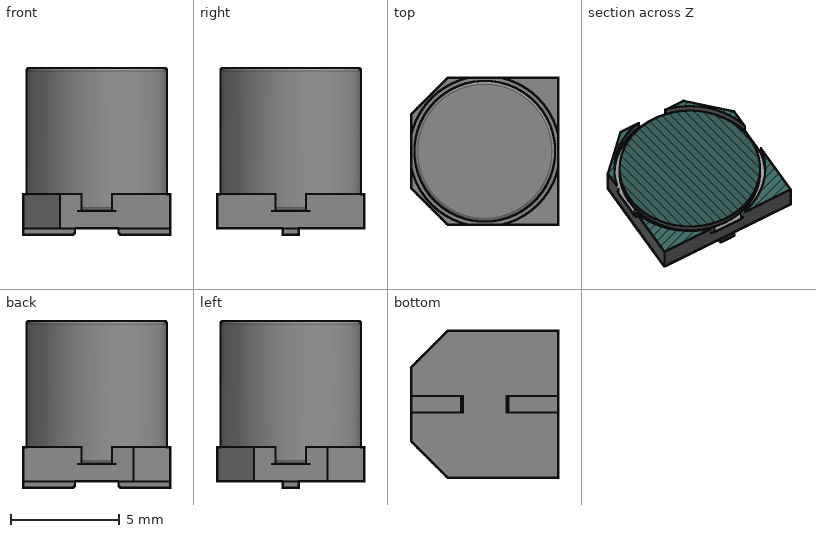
import cadquery as cq

HEIGHT = 7.7
BASE_SIDE = 6.8

TERMINAL_HEIGHT = 0.3
TERMINAL_LENGTH = 2.4
TERMINAL_WIDTH = 0.755
TERMINAL_CHAMFER = 0.09

BASE_HEIGHT = 1.58
BASE_TOP = TERMINAL_HEIGHT + BASE_HEIGHT
CORNER_CUT = BASE_SIDE / 4
SEAT_DIAMETER = 6.945
SEAT_DEPTH = 0.78
SEAT_FLOOR = BASE_TOP - SEAT_DEPTH

CAN_DIAMETER = 6.5
CAN_EDGE_RADIUS = 0.155
CAN_HEIGHT = HEIGHT - SEAT_FLOOR


def make_base():
    """Square plate, cut at its two -X corners; the seat breaks through the middle of each side."""
    plate = (
        cq.Workplane("XY", origin=(0, 0, TERMINAL_HEIGHT))
        .rect(BASE_SIDE, BASE_SIDE)
        .extrude(BASE_HEIGHT)
        .edges("|Z and <X")
        .chamfer(CORNER_CUT)
    )
    seat = cq.Workplane("XY", origin=(0, 0, SEAT_FLOOR)).circle(SEAT_DIAMETER / 2).extrude(SEAT_DEPTH)
    return plate.cut(seat)


def make_can():
    """Cylinder with rounded top and bottom rims."""
    return (
        cq.Workplane("XY", origin=(0, 0, SEAT_FLOOR))
        .circle(CAN_DIAMETER / 2)
        .extrude(CAN_HEIGHT)
        .edges()
        .fillet(CAN_EDGE_RADIUS)
    )


def make_terminal(angle):
    """Flat bar along -X with its lower inner edge chamfered, turned about Z by the angle in degrees."""
    bar = (
        cq.Workplane("XY")
        .box(TERMINAL_LENGTH, TERMINAL_WIDTH, TERMINAL_HEIGHT, centered=(False, True, False))
        .translate((-BASE_SIDE / 2, 0, 0))
        .faces(">X")
        .edges("<Z")
        .chamfer(TERMINAL_CHAMFER)
    )
    return bar.rotate((0, 0, 0), (0, 0, 1), angle)


base = make_base()
can = make_can()
terminals = [make_terminal(angle) for angle in (0, 180)]

result = cq.Compound.makeCompound([base.val(), can.val(), *[terminal.val() for terminal in terminals]])